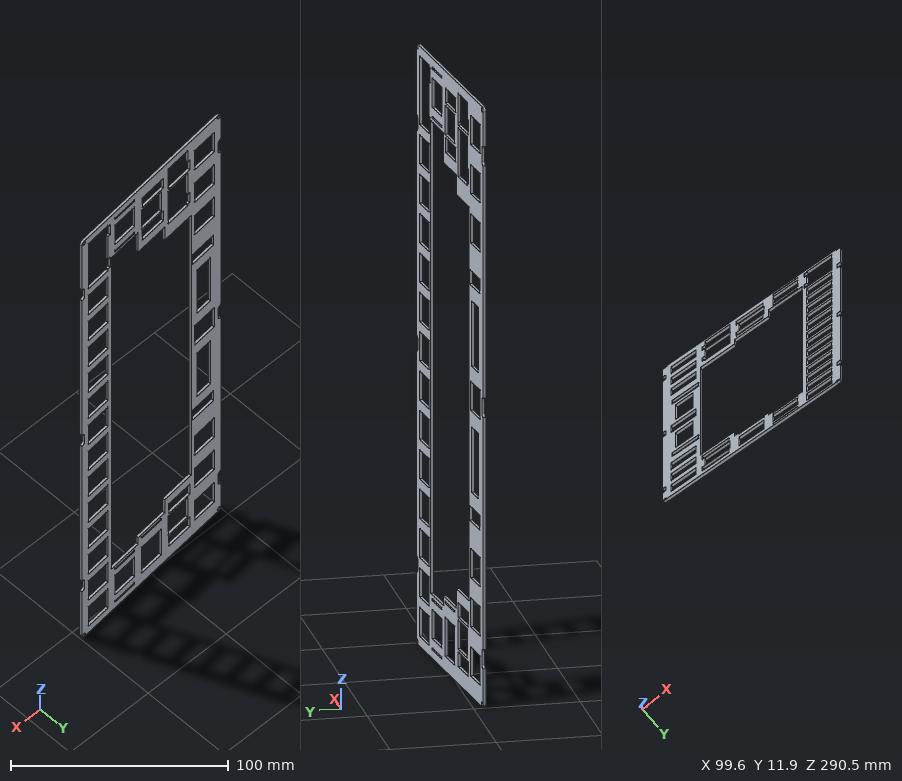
import cadquery as cq

unit = 19.05
units_long = 15
row_count = 5
rim = 2.375
thickness = 1.5
tilt_angle = 6.0
corner_radius = 2.0
corner_hole_diameter = 1.96
corner_hole_inset = 1.5

plate_width = row_count * unit + 2 * rim
plate_length = units_long * unit + 2 * rim
last_key_edge = units_long / 2
row_space, row_shift, row_home, row_tab, row_number = [
    (i - (row_count - 1) / 2) * unit for i in range(row_count)
]

switch_size = 14.0
stabilizer_width = 15.0
stabilizer_length = 7.0
stabilizer_offset = 1.0
stabilizer_reach = 11.938
space_stabilizer_reach = 3 * unit
slit_width = 0.9
cutter_depth = 2 * thickness

number_keys = list(range(-7, 6)) + [6, 6.5, 7]
backspace_key = 6.5
tab_key = 6.75
caps_keys = (-6.875, -6.625)
enter_key = 6.375
left_shift_key = -6.375
right_shift_keys = (5.625, 6.125, 7)
wide_right_shift_key = 6.125
space_keys = (-6.75, -5.5, -4.25, 0, 4.25, 5.5, 6.75)
space_key = 0

shift_edges = (-5.25, 4.75)
home_edges = (-5.75, 5.25)
tab_edges = (-6, 6)

window_width = 9.7
window_length = 31.5
window_x = row_space + 0.5
window_z = 30.5

notch_depth = 2.0
notch_radius = 1.5
left_notch_length = 9.2
right_notch_length = 7.6
left_notch_spacing = 121.7
right_notch_spacing = 106.8


def window(x, z, width, length):
    """A rectangular through-cutter centred at (x, z)."""
    return cq.Workplane("XY").box(width, cutter_depth, length).translate((x, 0, z))


def switch(row, key):
    """Square switch opening."""
    return window(row, key * unit, switch_size, switch_size)


def stabilizers(row, key, reach=stabilizer_reach, offset=-stabilizer_offset):
    """The pair of stabilizer openings on both sides of a wide key."""
    return [
        window(row + offset, key * unit + side * reach, stabilizer_width, stabilizer_length)
        for side in (-1, 1)
    ]


def slit(row, key_edge, inward):
    """Narrow relief slit set one rim width inside the edge of a key."""
    return window(row, key_edge * unit + inward * rim, switch_size, slit_width)


def number_row():
    """Single keys, and a backspace opening that takes one wide or two single keys."""
    switches = [switch(row_number, key) for key in number_keys]
    return switches + stabilizers(row_number, backspace_key)


def tab_row():
    """One key at each end, with a slit on both sides of it."""
    cutters = []
    for side, inner_edge in zip((-1, 1), tab_edges):
        cutters.append(switch(row_tab, side * tab_key))
        cutters.append(slit(row_tab, inner_edge, side))
        cutters.append(slit(row_tab, side * last_key_edge, -side))
    return cutters


def home_row():
    """Caps lock with two overlapping switch positions and a slit, and the enter key."""
    caps_lock = [switch(row_home, key) for key in caps_keys]
    caps_slit = slit(row_home, home_edges[0], -1)
    enter = [switch(row_home, enter_key)] + stabilizers(row_home, enter_key)
    return caps_lock + [caps_slit] + enter


def shift_row():
    """Left shift, and a right shift that is either one wide key or split into two."""
    left_shift = [switch(row_shift, left_shift_key)] + stabilizers(row_shift, left_shift_key)
    right_shift = [switch(row_shift, key) for key in right_shift_keys]
    return left_shift + right_shift + stabilizers(row_shift, wide_right_shift_key)


def space_row():
    """Modifier keys, the space bar with its stabilizers, and the two long windows."""
    cutters = [switch(row_space, key) for key in space_keys]
    cutters += stabilizers(row_space, space_key, space_stabilizer_reach, stabilizer_offset)
    cutters += [window(window_x, side * window_z, window_width, window_length) for side in (-1, 1)]
    return cutters


def centre_opening():
    """Stepped opening in place of the middle keys of the three inner rows."""
    cutters = []
    for row, (low, high) in ((row_shift, shift_edges), (row_home, home_edges), (row_tab, tab_edges)):
        cutters.append(window(row, (low + high) / 2 * unit, unit, (high - low) * unit))
    return cutters


def edge_notches():
    """Three notches in each long edge, rounded at their floor corners."""
    left_edge = (-1, left_notch_spacing, left_notch_length)
    right_edge = (1, right_notch_spacing, right_notch_length)
    cutters = []
    for side, spacing, length in (left_edge, right_edge):
        for place in (-1, 0, 1):
            notch = window(side * plate_width / 2, place * spacing, 2 * notch_depth, length)
            cutters.append(notch.edges("|Y").fillet(notch_radius))
    return cutters


def blank_plate():
    """Rounded rectangular plate with a small hole in each corner."""
    blank = cq.Workplane("XY").box(plate_width, thickness, plate_length)
    blank = blank.edges("|Y").fillet(corner_radius)
    hole_span_x = plate_width - 2 * corner_hole_inset
    hole_span_z = plate_length - 2 * corner_hole_inset
    return (
        blank.faces("<Y")
        .workplane(origin=(0, 0, 0))
        .rect(hole_span_x, hole_span_z, forConstruction=True)
        .vertices()
        .hole(corner_hole_diameter)
    )


plate = blank_plate()
key_cutters = number_row() + tab_row() + home_row() + shift_row() + space_row()
for cutter in key_cutters + centre_opening() + edge_notches():
    plate = plate.cut(cutter)

result = plate.rotate((0, 0, 0), (0, 0, 1), tilt_angle)